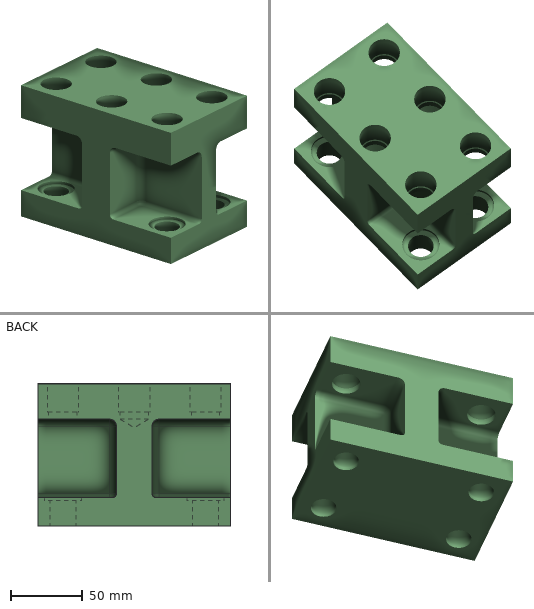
import cadquery as cq
import math

length = 135.0
width = 85.0
height = 100.0

top_flange = 25.0
bottom_flange = 20.0
cross_web = 25.0
long_web = 16.0
pocket_radius = 5.0
floor_radius = 3.0

hole_pitch = 50.0
thread_diameter = 22.0
drill_diameter = 20.0
thread_depth = 20.0
drill_depth = top_flange
drill_point_angle = 118.0
bolt_diameter = 18.0
spotface_diameter = 26.0
spotface_depth = 2.0

pocket_height = height - top_flange - bottom_flange
row_positions = [-hole_pitch / 2, hole_pitch / 2]
center_points = [(0, y) for y in row_positions]
corner_points = [(x, y) for x in (-hole_pitch, hole_pitch) for y in row_positions]


def cylinders(points, diameter, bottom, depth):
    """Vertical cylinders at the given points, rising from the bottom level."""
    return cq.Workplane("XY", origin=(0, 0, bottom)).pushPoints(points).circle(diameter / 2).extrude(depth)


def corner_pocket(x_side, y_side):
    """Pocket volume for one quadrant, rounded along its inner edges.

    It reaches past the block on the two open sides, so only the inner edges leave a mark.
    """
    size_x = length / 2
    size_y = width / 2
    pocket = cq.Workplane("XY").box(size_x, size_y, pocket_height, centered=False)
    pocket = pocket.edges("|Z and <X and <Y").fillet(pocket_radius)
    pocket = pocket.faces(">Z").edges("(not >X) and (not >Y)").fillet(pocket_radius)
    pocket = pocket.faces("<Z").edges("(not >X) and (not >Y)").fillet(floor_radius)
    pocket = pocket.translate((cross_web / 2, long_web / 2, bottom_flange))
    if x_side < 0:
        pocket = pocket.mirror("YZ")
    if y_side < 0:
        pocket = pocket.mirror("XZ")
    return pocket


def drill_points():
    """Conical ends of the blind center holes."""
    tip_depth = drill_diameter / 2 / math.tan(math.radians(drill_point_angle / 2))
    cone = cq.Solid.makeCone(drill_diameter / 2, 0, tip_depth, dir=cq.Vector(0, 0, -1))
    base = height - drill_depth
    return [cone.translate(cq.Vector(x, y, base)) for x, y in center_points]


body = cq.Workplane("XY").box(length, width, height, centered=(True, True, False))
for x_side in (-1, 1):
    for y_side in (-1, 1):
        body = body.cut(corner_pocket(x_side, y_side))

top_points = center_points + corner_points
body = body.cut(cylinders(top_points, thread_diameter, height - thread_depth, thread_depth))
body = body.cut(cylinders(top_points, drill_diameter, height - drill_depth, drill_depth))
for cone in drill_points():
    body = body.cut(cq.Workplane(obj=cone))

body = body.cut(cylinders(corner_points, bolt_diameter, 0, bottom_flange))
body = body.cut(cylinders(corner_points, spotface_diameter, bottom_flange - spotface_depth, spotface_depth))

result = body